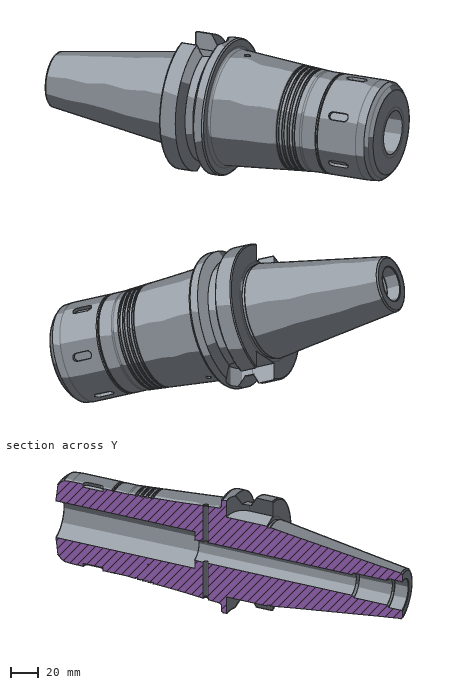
import cadquery as cq

length = 266.8
cut_clearance = 2.7

taper_length = 101.7
taper_large_radius = 35.0
taper_rate = 7 / 48
taper_small_radius = taper_large_radius - taper_length * taper_rate
shank_chamfer = 1.0
relief_start = 102.2
relief_radius = 34.5

flange_start = 104.5
face_radius = 36.5
face_cone_length = 0.5
flange_end = 139.5
flange_diameter = 100.0
flange_radius = flange_diameter / 2
front_flange_radius = 50.0
flange_chamfer = 0.8
rear_chamfer_length = 1.3
groove_radius = 42.5
groove_start = 117.5
groove_floor_start = 121.7
groove_floor_end = 127.8
groove_end = 132.0

keyway_width = 25.3
keyway_end = 135.3
keyway_floor = 35.5

root_fillet = 2.1
body_radius = 42.2
waist_position = 191.5
waist_radius = 38.2
collar_cone_start = 209.7
collar_cone_radius = 36.8
collar_start = 211.3
nut_radius = 36.5

ring_groove_start = 192.0
ring_groove_pitch = 4.0
ring_groove_width = 1.5
ring_groove_depth = 0.8
ring_groove_count = 4

nut_start = 223.0
nut_chamfer = 0.8
nut_gap = 1.0
nut_gap_radius = 36.0
nose_start = 254.0
nose_shoulder = (260.5, 36.0)
nose_break = (263.0, 34.0)
nose_edge = (265.5, 31.0)
nose_face_radius = 18.7

slot_count = 6
slot_length = 15.2
slot_width = 6.0
slot_depth = 2.7
slot_center = 238.3

cross_hole_diameter = 3.5
cross_hole_mouth_diameter = 4.0
cross_hole_mouth_depth = 1.3
cross_hole_position = 151.5

through_diameter = 18.0
through_radius = through_diameter / 2
mouth_radius = 13.0
entry_radius = 12.5
entry_depth = 10.7
countersink_radius = 12.0
thread_radius = 10.7
thread_end = 37.4
clamp_radius = 16.0
clamp_depth = 106.7


def make_body():
    """Revolve the outer profile about the X axis."""
    profile = (
        cq.Workplane("XY")
        .lineTo(0, taper_small_radius - shank_chamfer)
        .lineTo(shank_chamfer, taper_small_radius + shank_chamfer * taper_rate)
        .lineTo(taper_length, taper_large_radius)
        .lineTo(relief_start, relief_radius)
        .lineTo(flange_start - face_cone_length, relief_radius)
        .lineTo(flange_start, face_radius)
        .lineTo(flange_start, front_flange_radius - flange_chamfer)
        .lineTo(flange_start + flange_chamfer, front_flange_radius)
        .lineTo(groove_start, front_flange_radius)
        .lineTo(groove_floor_start, groove_radius)
        .lineTo(groove_floor_end, groove_radius)
        .lineTo(groove_end, flange_radius)
        .lineTo(flange_end - rear_chamfer_length, flange_radius)
        .lineTo(flange_end, flange_radius - flange_chamfer)
        .lineTo(flange_end, body_radius + root_fillet)
        .radiusArc((flange_end + root_fillet, body_radius), -root_fillet)
        .lineTo(waist_position, waist_radius)
        .lineTo(collar_cone_start, collar_cone_radius)
        .lineTo(collar_start, nut_radius)
        .lineTo(nut_start - nut_gap, nut_radius)
        .lineTo(nut_start - nut_gap, nut_gap_radius)
        .lineTo(nut_start, nut_gap_radius)
        .lineTo(nut_start + nut_chamfer, nut_radius)
        .lineTo(nose_start, nut_radius)
        .lineTo(*nose_shoulder)
        .lineTo(*nose_break)
        .lineTo(*nose_edge)
        .lineTo(length, nose_face_radius)
        .lineTo(length, 0)
        .close()
    )
    return profile.revolve(360, (0, 0, 0), (1, 0, 0))


def make_keyway():
    """Round-ended slot open toward the shank, above the keyway floor."""
    height = flange_radius - keyway_floor + cut_clearance
    half_width = keyway_width / 2
    arc_center = keyway_end - half_width
    return (
        cq.Workplane("XY", origin=(0, 0, keyway_floor))
        .moveTo(taper_length, -half_width)
        .lineTo(arc_center, -half_width)
        .threePointArc((keyway_end, 0), (arc_center, half_width))
        .lineTo(taper_length, half_width)
        .close()
        .extrude(height)
    )


def rear_cone_radius(position):
    """Radius of the cone between the waist and the collar."""
    slope = (collar_cone_radius - waist_radius) / (collar_cone_start - waist_position)
    return waist_radius + slope * (position - waist_position)


def make_ring_groove(start):
    """Flat-bottomed ring cut into the cone around the body."""
    floor_radius = rear_cone_radius(start) - ring_groove_depth
    return (
        cq.Workplane("YZ", origin=(start, 0, 0))
        .circle(body_radius)
        .circle(floor_radius)
        .extrude(ring_groove_width)
    )


def make_spanner_slot(angle):
    """Round-ended pocket in the nut, turned about the X axis from the top."""
    return (
        cq.Workplane("XY", origin=(slot_center, 0, nut_radius - slot_depth))
        .slot2D(slot_length, slot_width)
        .extrude(slot_depth + cut_clearance)
        .rotate((0, 0, 0), (1, 0, 0), angle)
    )


def make_bores():
    """Draw-bar entry, countersunk thread bore, through bore and clamping bore as one tool."""
    mouth_chamfer = mouth_radius - entry_radius
    countersink_end = entry_depth + countersink_radius - thread_radius
    thread_cone_end = thread_end + thread_radius - through_radius
    profile = (
        cq.Workplane("XY")
        .lineTo(0, mouth_radius)
        .lineTo(mouth_chamfer, entry_radius)
        .lineTo(entry_depth, entry_radius)
        .lineTo(entry_depth, countersink_radius)
        .lineTo(countersink_end, thread_radius)
        .lineTo(thread_end, thread_radius)
        .lineTo(thread_cone_end, through_radius)
        .lineTo(length - clamp_depth, through_radius)
        .lineTo(length - clamp_depth, clamp_radius)
        .lineTo(length, clamp_radius)
        .lineTo(length, 0)
        .close()
    )
    return profile.revolve(360, (0, 0, 0), (1, 0, 0))


def make_cross_hole():
    """Hole through the body along Z, slightly wider at both mouths."""
    taper_start = flange_end + root_fillet
    slope = (waist_radius - body_radius) / (waist_position - taper_start)
    surface_radius = body_radius + slope * (cross_hole_position - taper_start)
    mouth_floor = surface_radius - cross_hole_mouth_depth
    hole = (
        cq.Workplane("XY", origin=(cross_hole_position, 0, -flange_radius))
        .circle(cross_hole_diameter / 2)
        .extrude(2 * flange_radius)
    )
    mouth = (
        cq.Workplane("XY", origin=(cross_hole_position, 0, mouth_floor))
        .circle(cross_hole_mouth_diameter / 2)
        .extrude(flange_radius - mouth_floor)
    )
    return hole.union(mouth).union(mouth.mirror("XY"))


result = make_body().cut(make_bores())

for side_angle in (0, 180):
    result = result.cut(make_keyway().rotate((0, 0, 0), (1, 0, 0), side_angle))

for index in range(ring_groove_count):
    result = result.cut(make_ring_groove(ring_groove_start + index * ring_groove_pitch))

for index in range(slot_count):
    result = result.cut(make_spanner_slot(index * 360 / slot_count))

result = result.cut(make_cross_hole())